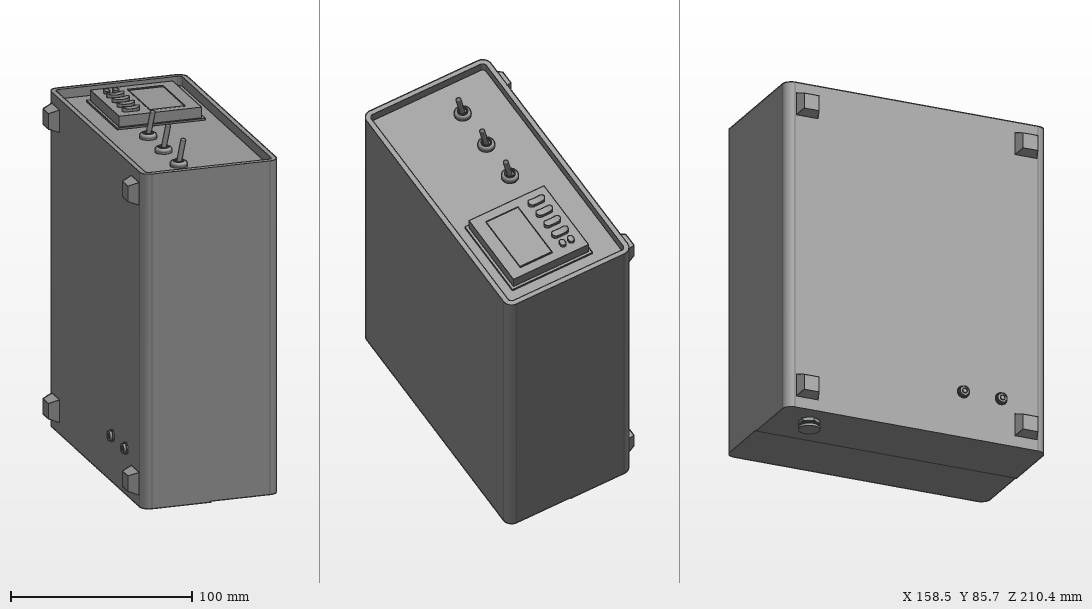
import cadquery as cq
import math


width = 158.5
depth = 79.8
overall_depth = 85.71
overall_height = 210.39

case_height = 195.1
corner_radius = 5.3
wall = 3.0
panel_recess = 5.5
rear_step = 0.6
panel_z = case_height - panel_recess

foot_base = 13.2
foot_tip = 9.0
foot_height = overall_depth - depth
foot_x = 66.6
lower_foot_z = 13.3
upper_foot_drop = 12.9
upper_foot_z = case_height - upper_foot_drop

screw_steps = ((6.85, 0.8), (5.6, 2.3), (2.79, 2.7))
screw_xs = (28.3, 51.3)
screw_z = 27.2

display_x = -40.6
display_y = 3.8
bezel_size = 51.5
bezel_thickness = 1.0
display_size = 48.2
display_rise = 1.7
display_z = case_height + display_rise
screen_width = 37.4
screen_height = 20.6
screen_depth = 0.5
screen_ledge_width = 0.8
screen_ledge_depth = 0.25
screen_y = 9.9

button_width = 4.15
button_length = 10.0
button_height = 2.4
button_dish_depth = 0.9
button_count = 4
button_pitch = 8.5
last_button_x = -24.3
button_y = -10.8
small_button_width = 4.4
small_button_height = 3.2
small_button_rise = 1.6
small_button_x = -57.1
small_button_pitch = 5.3

switch_count = 3
switch_pitch = 25.6
first_switch_x = 3.5
switch_y = -10.3
nut_diameter = 9.53
nut_height = 2.8
nut_round = 1.7
bushing_diameter = 5.87
bushing_height = 3.1
bushing_bore = 4.6
bushing_bore_depth = 0.8
lever_diameter = 2.79
lever_tip_diameter = 0.85
lever_tilt = 11.5

connector_x = -58.6
connector_y = -25.3
connector_length = 5.3
hex_width = 10.41
hex_height = 2.0
collar_diameter = 10.3
collar_end = 2.5
neck_diameter = 8.89
flange_diameter = 12.0
flange_thickness = 1.5

lever_top_z = overall_height - connector_length


def make_case():
    """Rounded box with a recessed panel at the top and a stepped rear end."""
    case = cq.Workplane("XY").rect(width, depth).extrude(case_height)
    case = case.edges("|Z").fillet(corner_radius)
    recess = (
        cq.Workplane("XY", origin=(0, 0, panel_z))
        .rect(width - 2 * wall, depth - 2 * wall)
        .extrude(panel_recess)
        .edges("|Z")
        .fillet(corner_radius - wall)
    )
    step = cq.Workplane("XY").center(0, depth / 4).rect(width, depth / 2).extrude(rear_step)
    return case.cut(recess).cut(step)


def make_foot(x, z):
    """Square foot tapering away from the -Y face."""
    return (
        cq.Workplane("XZ", origin=(x, -depth / 2, z))
        .rect(foot_base, foot_base)
        .workplane(offset=foot_height)
        .rect(foot_tip, foot_tip)
        .loft(combine=True)
    )


def make_screw(x):
    """Stepped round screw head on the -Y face."""
    face = cq.Workplane("XZ", origin=(x, -depth / 2, screw_z))
    screw = cq.Workplane("XZ")
    for diameter, height in screw_steps:
        screw = screw.union(face.circle(diameter / 2).extrude(height))
    return screw


def make_display():
    """Bezel and raised block with a shallow screen recess, ledged on its -X edge."""
    bezel = (
        cq.Workplane("XY", origin=(display_x, display_y, panel_z))
        .rect(bezel_size, bezel_size)
        .extrude(bezel_thickness)
    )
    block = (
        cq.Workplane("XY", origin=(display_x, display_y, panel_z))
        .rect(display_size, display_size)
        .extrude(display_z - panel_z)
    )
    screen = (
        cq.Workplane("XY", origin=(display_x, screen_y, display_z))
        .rect(screen_width, screen_height)
        .extrude(-screen_depth)
    )
    ledge = (
        cq.Workplane("XY", origin=(display_x - screen_width / 2, screen_y, display_z - screen_depth))
        .rect(2 * screen_ledge_width, screen_height)
        .extrude(screen_depth - screen_ledge_depth)
    )
    return bezel.union(block).cut(screen).union(ledge)


def make_button(x):
    """Long button whose top is dished along Y."""
    half_length = button_length / 2
    dish_radius = (half_length**2 + button_dish_depth**2) / (2 * button_dish_depth)
    dish_z = display_z + button_height - button_dish_depth + dish_radius
    body = (
        cq.Workplane("XY", origin=(x, button_y, display_z))
        .slot2D(button_length, button_width, 90)
        .extrude(button_height)
    )
    dish = (
        cq.Workplane("YZ", origin=(x, button_y, dish_z))
        .circle(dish_radius)
        .extrude(button_width, both=True)
    )
    return body.cut(dish)


def make_small_button(y):
    """Small flat-topped button beside the long ones."""
    return (
        cq.Workplane("XY", origin=(small_button_x, y, display_z))
        .slot2D(small_button_width, small_button_height)
        .extrude(small_button_rise)
    )


def make_switch(x):
    """Toggle switch: rounded nut, hollow bushing and a leaning lever."""
    nut = cq.Workplane("XY").circle(nut_diameter / 2).extrude(nut_height)
    nut = nut.faces(">Z").edges().fillet(nut_round)
    bushing = cq.Workplane("XY").circle(bushing_diameter / 2).extrude(bushing_height)
    bore = (
        cq.Workplane("XY", origin=(0, 0, bushing_height))
        .circle(bushing_bore / 2)
        .extrude(-bushing_bore_depth)
    )
    tilt = math.radians(lever_tilt)
    lever_radius = lever_diameter / 2
    tip_flat_radius = lever_tip_diameter / 2
    tip_round = lever_radius - tip_flat_radius
    pivot_z = nut_height / 2
    lever_rise = lever_top_z - panel_z - pivot_z
    round_centre_rise = lever_rise - tip_round - tip_flat_radius * math.sin(tilt)
    lever_length = tip_round + round_centre_rise / math.cos(tilt)
    lever = (
        cq.Workplane("XY")
        .circle(lever_radius)
        .extrude(lever_length)
        .faces(">Z")
        .edges()
        .fillet(tip_round)
        .rotate((0, 0, 0), (1, 0, 0), -lever_tilt)
        .translate((0, 0, pivot_z))
    )
    switch = nut.union(bushing).cut(bore).union(lever)
    return switch.translate((x, switch_y, panel_z))


def make_connector():
    """Rear connector: hexagonal nut, collar, neck and round end flange."""
    hexagon = (
        cq.Workplane("XY")
        .polygon(6, hex_width, circumscribed=True)
        .extrude(-hex_height)
    )
    collar = cq.Workplane("XY").circle(collar_diameter / 2).extrude(-collar_end)
    neck = cq.Workplane("XY").circle(neck_diameter / 2).extrude(-connector_length)
    flange = (
        cq.Workplane("XY", origin=(0, 0, -connector_length))
        .circle(flange_diameter / 2)
        .extrude(flange_thickness)
    )
    return hexagon.union(collar).union(neck).union(flange).translate((connector_x, connector_y, 0))


result = make_case().union(make_display()).union(make_connector())

for side in (-1, 1):
    for foot_z in (lower_foot_z, upper_foot_z):
        result = result.union(make_foot(side * foot_x, foot_z))
    result = result.union(make_small_button(button_y + side * small_button_pitch / 2))

for screw_x in screw_xs:
    result = result.union(make_screw(screw_x))

for index in range(button_count):
    result = result.union(make_button(last_button_x - index * button_pitch))

for index in range(switch_count):
    result = result.union(make_switch(first_switch_x + index * switch_pitch))